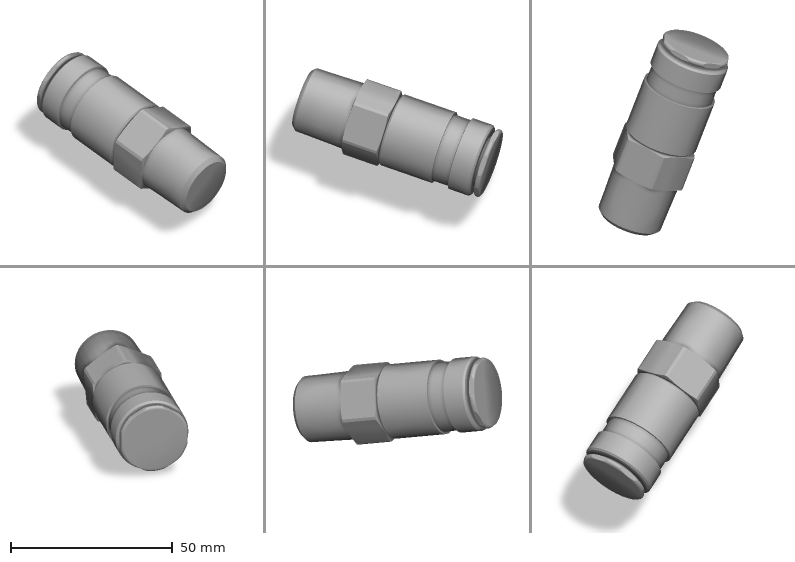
import cadquery as cq
import math


total_length = 62.4

flange_width = 1.8
flange_diameter = 22.0
flange_across_flats = 20.95

front_neck_diameter = 16.15
neck_root_diameter = 16.55
neck_root_length = 0.6
rear_neck_diameter = 19.0

sleeve_diameter = 23.15
sleeve_start = 2.9
sleeve_end = 33.0
sleeve_chamfer = 0.55
groove_diameter = 21.5
groove_start = 9.85
groove_end = 15.55
groove_wall_slope = 0.25

hex_start = 33.3
hex_end = 45.35
hex_corner_diameter = 24.8
hex_across_flats = 21.95
hex_turn = -4.7
hex_face_diameter = 21.5
hex_chamfer_length = 0.4

spigot_base_diameter = 21.4
spigot_tip_diameter = 20.6
spigot_chamfer = 1.3

sides = 6


def across_corners(across_flats):
    """Corner-to-corner size of a regular hexagon."""
    return across_flats / math.cos(math.pi / sides)


def revolve_about_x(profile):
    """Turn a closed (X, radius) profile fully about the X axis."""
    return profile.close().revolve(360, (0, 0, 0), (1, 0, 0))


def hexagonal_bar(start, end, across_flats, turn):
    """Hexagonal bar along X; at zero turn two of its corners point along Z."""
    bar = (
        cq.Workplane("YZ")
        .workplane(offset=start)
        .polygon(sides, across_corners(across_flats))
        .extrude(end - start)
    )
    return bar.rotate((0, 0, 0), (1, 0, 0), 90 + turn)


def make_flange():
    """Disc with a rim rounded by two quarter arcs, cut by six flats."""
    rim_radius = flange_width / 2
    face_radius = flange_diameter / 2 - rim_radius
    disc = revolve_about_x(
        cq.Workplane("XY")
        .lineTo(0, face_radius)
        .radiusArc((rim_radius, flange_diameter / 2), rim_radius)
        .radiusArc((flange_width, face_radius), rim_radius)
        .lineTo(flange_width, 0)
    )
    return disc.intersect(hexagonal_bar(0, flange_width, flange_across_flats, 0))


def make_shaft():
    """Stepped shaft from the flange to the hexagon, flared where it leaves the flange."""
    neck_radius = front_neck_diameter / 2
    neck_start = flange_width + neck_root_length
    return revolve_about_x(
        cq.Workplane("XY")
        .moveTo(flange_width, 0)
        .lineTo(hex_start, 0)
        .lineTo(hex_start, rear_neck_diameter / 2)
        .lineTo(groove_start, rear_neck_diameter / 2)
        .lineTo(groove_start, neck_radius)
        .lineTo(neck_start, neck_radius)
        .tangentArcPoint((flange_width, neck_root_diameter / 2), relative=False)
    )


def make_hexagon():
    """Hexagon with rounded corners and conical chamfers at both ends."""
    corner_radius = hex_corner_diameter / 2
    face_radius = hex_face_diameter / 2
    envelope = revolve_about_x(
        cq.Workplane("XY")
        .moveTo(hex_start, 0)
        .lineTo(hex_start, face_radius)
        .lineTo(hex_start + hex_chamfer_length, corner_radius)
        .lineTo(hex_end - hex_chamfer_length, corner_radius)
        .lineTo(hex_end, face_radius)
        .lineTo(hex_end, 0)
    )
    return envelope.intersect(hexagonal_bar(hex_start, hex_end, hex_across_flats, hex_turn))


def make_spigot():
    """Tapered spigot with a chamfered tip."""
    tip_radius = spigot_tip_diameter / 2
    return revolve_about_x(
        cq.Workplane("XY")
        .moveTo(hex_end, 0)
        .lineTo(hex_end, spigot_base_diameter / 2)
        .lineTo(total_length - spigot_chamfer, tip_radius)
        .lineTo(total_length, tip_radius - spigot_chamfer)
        .lineTo(total_length, 0)
    )


def make_core():
    """Flange, shaft, hexagon and spigot as one solid."""
    return make_flange().union(make_shaft()).union(make_hexagon()).union(make_spigot())


def make_sleeve():
    """Sleeve with a marking groove; its stepped bore fits the shaft."""
    outer_radius = sleeve_diameter / 2
    groove_radius = groove_diameter / 2
    end_radius = outer_radius - sleeve_chamfer
    front_bore_radius = front_neck_diameter / 2
    rear_bore_radius = rear_neck_diameter / 2
    return revolve_about_x(
        cq.Workplane("XY")
        .moveTo(sleeve_start, front_bore_radius)
        .lineTo(sleeve_start, end_radius)
        .lineTo(sleeve_start + sleeve_chamfer, outer_radius)
        .lineTo(groove_start, outer_radius)
        .lineTo(groove_start + groove_wall_slope, groove_radius)
        .lineTo(groove_end, groove_radius)
        .lineTo(groove_end, outer_radius)
        .lineTo(sleeve_end - sleeve_chamfer, outer_radius)
        .lineTo(sleeve_end, end_radius)
        .lineTo(sleeve_end, rear_bore_radius)
        .lineTo(groove_start, rear_bore_radius)
        .lineTo(groove_start, front_bore_radius)
    )


core = make_core()
sleeve = make_sleeve()

result = cq.Compound.makeCompound([core.val(), sleeve.val()])